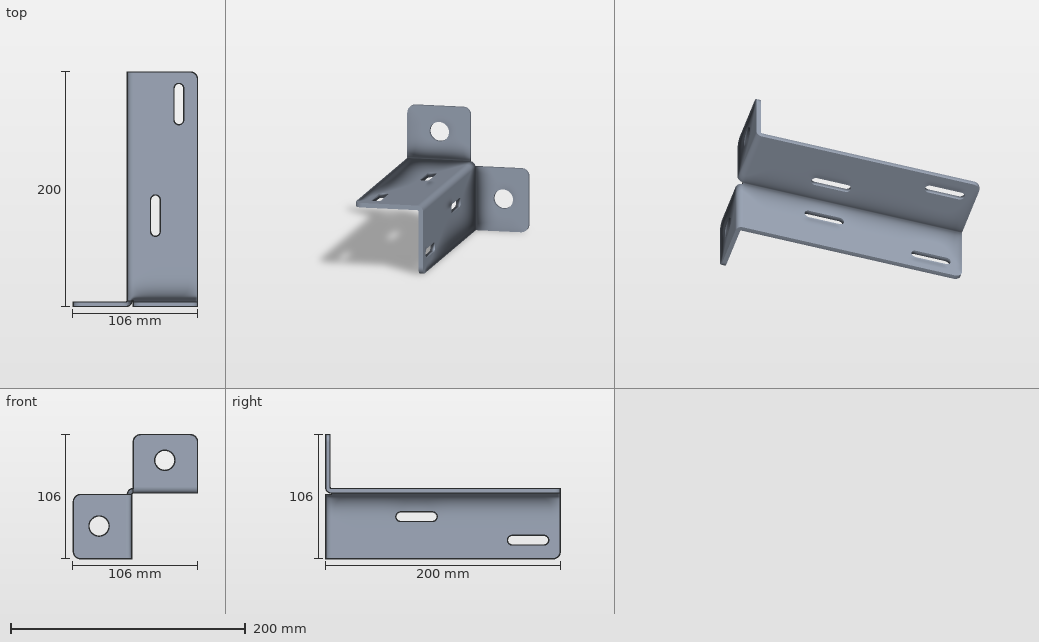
import cadquery as cq
import math

thickness = 4.0
inner_bend_radius = 1.0
length = 200.0
leg_width = 60.0
tab_height = 50.0
corner_radius = 6.5

tab_hole_diameter = 17.0
tab_hole_from_side = 28.0
tab_hole_from_end = 22.0

slot_length = 35.0
slot_width = 8.0
slot_centres = [(44.0, 27.5), (24.0, 122.5)]

outer_bend_radius = inner_bend_radius + thickness
flat_start = outer_bend_radius
tab_end = tab_height - thickness
tab_width = leg_width - flat_start

symmetry_normal = cq.Vector(1, 0, 1)


def quarter_bend(plane):
    """Bend section from (0, -R) to (-R, 0) about the plane origin, R being the outer radius."""
    mid_factor = math.sqrt(0.5)
    outer_mid = -outer_bend_radius * mid_factor
    inner_mid = -inner_bend_radius * mid_factor
    return (
        cq.Workplane(plane)
        .moveTo(0, -outer_bend_radius)
        .threePointArc((outer_mid, outer_mid), (-outer_bend_radius, 0))
        .lineTo(-inner_bend_radius, 0)
        .threePointArc((inner_mid, inner_mid), (0, -inner_bend_radius))
        .close()
    )


def main_bend():
    """Long bend joining the two legs, ending where the tab bends begin."""
    plane = cq.Plane(
        origin=(flat_start, flat_start, -flat_start),
        xDir=(1, 0, 0),
        normal=(0, 1, 0),
    )
    return quarter_bend(plane).extrude(length - flat_start)


def leg_plate():
    """Horizontal leg with its rounded rear corner and two slots."""
    plate = cq.Workplane("XY").box(
        tab_width, length - flat_start, thickness, centered=False
    )
    plate = plate.translate((flat_start, flat_start, -thickness))
    plate = plate.edges("|Z and >X and >Y").fillet(corner_radius)
    slots = (
        cq.Workplane("XY")
        .pushPoints([(across, length - from_rear) for across, from_rear in slot_centres])
        .slot2D(slot_length, slot_width, 90)
        .extrude(-thickness)
    )
    return plate.cut(slots)


def tab_bend():
    """Bend turning the front end of the horizontal leg upward."""
    plane = cq.Plane(
        origin=(flat_start, flat_start, inner_bend_radius),
        xDir=(0, 1, 0),
        normal=(1, 0, 0),
    )
    return quarter_bend(plane).extrude(tab_width)


def tab_plate():
    """Upright end tab with two rounded corners and a round hole."""
    plate = cq.Workplane("XY").box(
        tab_width, thickness, tab_end - inner_bend_radius, centered=False
    )
    plate = plate.translate((flat_start, 0, inner_bend_radius))
    plate = plate.edges("|Y and >Z").fillet(corner_radius)
    hole = (
        cq.Workplane("XZ")
        .center(leg_width - tab_hole_from_side, tab_end - tab_hole_from_end)
        .circle(tab_hole_diameter / 2)
        .extrude(-thickness)
    )
    return plate.cut(hole)


leg = leg_plate().union(tab_bend()).union(tab_plate())
opposite_leg = leg.mirror(symmetry_normal)
result = main_bend().union(leg).union(opposite_leg)